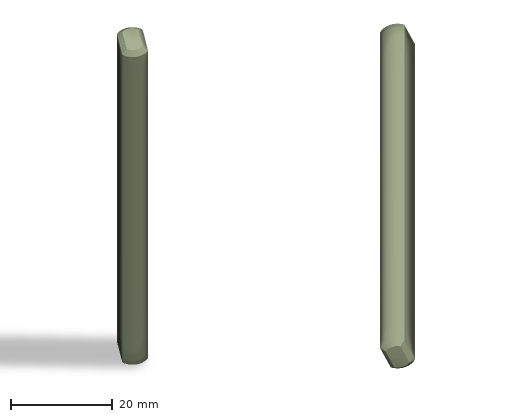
import cadquery as cq

length = 100.0
diameter = 7.5
across_flats = 5.2
end_chamfer = 1.0
flat_direction = -38.7


def make_blank():
    """Round bar with two parallel flats, standing on the Z axis."""
    bar = cq.Workplane("XY").circle(diameter / 2).extrude(length)
    flats = cq.Workplane("XY").rect(2 * diameter, across_flats).extrude(length)
    return bar.intersect(flats)


def chamfer_ends(blank):
    """Bevel the whole outline at both ends."""
    return blank.faces("<Z or >Z").edges().chamfer(end_chamfer)


bar = chamfer_ends(make_blank())
result = bar.rotate((0, 0, 0), (0, 0, 1), flat_direction)